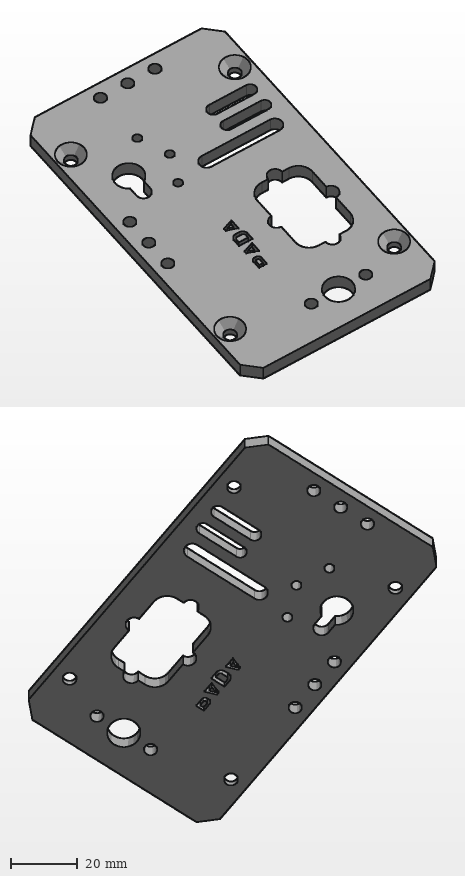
import cadquery as cq

LENGTH = 120.0
WIDTH = 71.2
THICKNESS = 5.0
CORNER_CHAMFER = 5.0

SCREW_PITCH_X = 83.5
SCREW_PITCH_Y = 60.0
SCREW_DIAMETER = 4.2
COUNTERSINK_DIAMETER = 9.6
COUNTERSINK_ANGLE = 90.0

PLAIN_DIAMETER = 4.0
ROW_PITCH = 10.0
LEFT_ROW_X = -55.0
FRONT_ROW_Y = -30.6
LARGE_DIAMETER = 10.0
LARGE_X, LARGE_Y = 47.5, 5.6

SLOTS = [
    (-31.9, 22.0, 17.8, 4.2),
    (-24.5, 22.0, 17.8, 4.0),
    (-16.3, 14.4, 30.0, 5.0),
]

WINDOW_X, WINDOW_Y = 15.0, 15.6
WINDOW_LENGTH = 30.0
WINDOW_WIDTH = 20.0
WINDOW_CORNER_RADIUS = 5.0
NOTCH_DIAMETER = 5.0

KEYHOLE_X, KEYHOLE_Y = -25.0, -20.5
KEYHOLE_DIAMETER = 10.0
KEYHOLE_SLOT_WIDTH = 5.0
KEYHOLE_SLOT_REACH = 7.7
SMALL_DIAMETER = 3.0
SMALL_SPREAD = 10.7
SMALL_MIDDLE_Y = -5.5
SMALL_OUTER_Y = -10.0

TAPER_CENTRES_X = [8.9, 19.7]
TAPER_TOP_Y, TAPER_BOTTOM_Y = -5.3, -9.0
TAPER_TOP_WIDTH, TAPER_BOTTOM_WIDTH = 3.7, 1.0
TAPER_CORE_TOP_Y, TAPER_CORE_BOTTOM_Y = -6.2, -8.2
TAPER_CORE_WIDTH = 1.5

LONG_BOW_OPENING = (12.1, 16.5, -9.1, -4.2, 1.8)
LONG_BOW_CORE = (13.3, 15.4, -8.4, -5.0, 0.8)
SHORT_BOW_OPENING = (22.9, 27.0, -9.1, -6.2, 1.2)
SHORT_BOW_CORE = (24.0, 26.2, -8.4, -7.1, 0.5)


def through_cylinders(points, diameter):
    """Cylinders through the full thickness at each point."""
    return cq.Workplane("XY").pushPoints(points).circle(diameter / 2).extrude(THICKNESS)


def slot(x, y, length, width):
    return cq.Workplane("XY").center(x, y).slot2D(length, width, 90).extrude(THICKNESS)


def window():
    body = cq.Workplane("XY").center(WINDOW_X, WINDOW_Y).rect(WINDOW_LENGTH, WINDOW_WIDTH)
    body = body.extrude(THICKNESS).edges("|Z").fillet(WINDOW_CORNER_RADIUS)
    half_length = WINDOW_LENGTH / 2
    half_width = WINDOW_WIDTH / 2
    notch_points = [
        (WINDOW_X - half_length, WINDOW_Y),
        (WINDOW_X + half_length, WINDOW_Y),
        (WINDOW_X, WINDOW_Y - half_width),
        (WINDOW_X, WINDOW_Y + half_width),
    ]
    return body.union(through_cylinders(notch_points, NOTCH_DIAMETER))


def keyhole():
    neck = cq.Workplane("XY").center(KEYHOLE_X + KEYHOLE_SLOT_REACH / 2, KEYHOLE_Y)
    neck = neck.slot2D(KEYHOLE_SLOT_REACH + KEYHOLE_SLOT_WIDTH, KEYHOLE_SLOT_WIDTH).extrude(THICKNESS)
    return through_cylinders([(KEYHOLE_X, KEYHOLE_Y)], KEYHOLE_DIAMETER).union(neck)


def taper_opening(x):
    half_top = TAPER_TOP_WIDTH / 2
    half_bottom = TAPER_BOTTOM_WIDTH / 2
    outline = [
        (x - half_top, TAPER_TOP_Y),
        (x - half_bottom, TAPER_BOTTOM_Y),
        (x + half_bottom, TAPER_BOTTOM_Y),
        (x + half_top, TAPER_TOP_Y),
    ]
    return cq.Workplane("XY").polyline(outline).close().extrude(THICKNESS)


def taper_core(x):
    half_top = TAPER_CORE_WIDTH / 2
    outline = [
        (x - half_top, TAPER_CORE_TOP_Y),
        (x, TAPER_CORE_BOTTOM_Y),
        (x + half_top, TAPER_CORE_TOP_Y),
    ]
    return cq.Workplane("XY").polyline(outline).close().extrude(THICKNESS)


def bow(left, right, bottom, top, radius):
    """Upright block with both corners of its -X side rounded."""
    block = cq.Workplane("XY").center((left + right) / 2, (bottom + top) / 2)
    block = block.rect(right - left, top - bottom).extrude(THICKNESS)
    return block.faces("<X").edges("|Z").fillet(radius)


def plate():
    body = cq.Workplane("XY").rect(LENGTH, WIDTH).extrude(THICKNESS)
    body = body.edges("|Z").chamfer(CORNER_CHAMFER)

    body = body.faces(">Z").workplane(origin=(0, 0, THICKNESS))
    body = body.rarray(SCREW_PITCH_X, SCREW_PITCH_Y, 2, 2)
    body = body.cskHole(SCREW_DIAMETER, COUNTERSINK_DIAMETER, COUNTERSINK_ANGLE)

    steps = [-ROW_PITCH, 0, ROW_PITCH]
    plain_points = [(LEFT_ROW_X, step) for step in steps]
    plain_points += [(step, FRONT_ROW_Y) for step in steps]
    plain_points += [(LARGE_X, LARGE_Y + side * ROW_PITCH) for side in (-1, 1)]
    body = body.cut(through_cylinders(plain_points, PLAIN_DIAMETER))
    body = body.cut(through_cylinders([(LARGE_X, LARGE_Y)], LARGE_DIAMETER))

    small_points = [
        (KEYHOLE_X - SMALL_SPREAD, SMALL_OUTER_Y),
        (KEYHOLE_X, SMALL_MIDDLE_Y),
        (KEYHOLE_X + SMALL_SPREAD, SMALL_OUTER_Y),
    ]
    body = body.cut(through_cylinders(small_points, SMALL_DIAMETER))

    for x, y, length, width in SLOTS:
        body = body.cut(slot(x, y, length, width))
    body = body.cut(window())
    body = body.cut(keyhole())

    for x in TAPER_CENTRES_X:
        body = body.cut(taper_opening(x))
    for opening in (LONG_BOW_OPENING, SHORT_BOW_OPENING):
        body = body.cut(bow(*opening))
    return body


base_plate = plate()
taper_cores = [taper_core(x).val() for x in TAPER_CENTRES_X]
long_bow_core = bow(*LONG_BOW_CORE)
short_bow_core = bow(*SHORT_BOW_CORE)

result = cq.Compound.makeCompound(
    [base_plate.val(), *taper_cores, long_bow_core.val(), short_bow_core.val()]
)